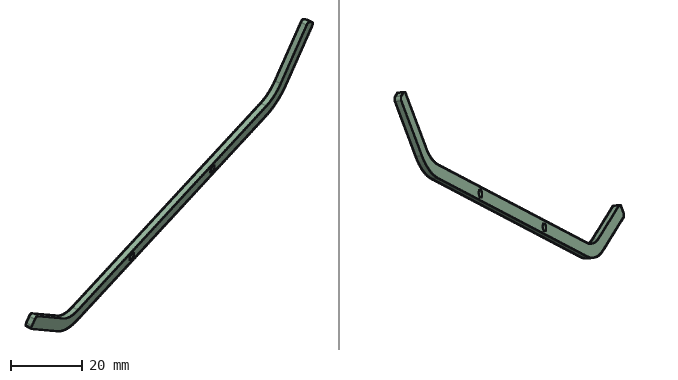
import cadquery as cq
import math

THICKNESS = 2.0
BAR_WIDTH = 4.0
OVERALL_LENGTH = 139.52
OVERALL_HEIGHT = 20.09
ARM_ANGLE = math.radians(45.0)
INNER_BEND_RADIUS = 10.0
OUTER_BEND_RADIUS = INNER_BEND_RADIUS + BAR_WIDTH
TIP_FILLET_RADIUS = 1.0
HOLE_DIAMETER = 2.2
HOLE_SPACING = 40.0

ARM_Y = math.cos(ARM_ANGLE)
ARM_Z = math.sin(ARM_ANGLE)

FLAT_LENGTH = BAR_WIDTH - 2 * TIP_FILLET_RADIUS
LOWER_FILLET_Y = OVERALL_LENGTH / 2 - TIP_FILLET_RADIUS
UPPER_FILLET_Z = OVERALL_HEIGHT - TIP_FILLET_RADIUS
LOWER_FILLET_Z = UPPER_FILLET_Z - FLAT_LENGTH * ARM_Y

LOWER_TIP_Y = LOWER_FILLET_Y + TIP_FILLET_RADIUS * (ARM_Y + ARM_Z)
LOWER_TIP_Z = LOWER_FILLET_Z + TIP_FILLET_RADIUS * (ARM_Z - ARM_Y)
UPPER_TIP_Y = LOWER_TIP_Y - BAR_WIDTH * ARM_Z
UPPER_TIP_Z = LOWER_TIP_Z + BAR_WIDTH * ARM_Y

SHARP_CORNER_Y = LOWER_TIP_Y - LOWER_TIP_Z / math.tan(ARM_ANGLE)
BEND_START_Y = SHARP_CORNER_Y - OUTER_BEND_RADIUS * math.tan(ARM_ANGLE / 2)


def bend_point(radius, angle):
    """Point on the +Y bend at a given angle past the straight bar."""
    y = BEND_START_Y + radius * math.sin(angle)
    z = OUTER_BEND_RADIUS - radius * math.cos(angle)
    return y, z


def make_half_strip():
    """The +Y half of the bent strip, from the mid-plane to the rounded tip."""
    outer_start, outer_middle, outer_end = [
        bend_point(OUTER_BEND_RADIUS, angle) for angle in (0, ARM_ANGLE / 2, ARM_ANGLE)
    ]
    inner_start, inner_middle, inner_end = [
        bend_point(INNER_BEND_RADIUS, angle) for angle in (0, ARM_ANGLE / 2, ARM_ANGLE)
    ]
    profile = (
        cq.Workplane("YZ")
        .moveTo(0, 0)
        .lineTo(*outer_start)
        .threePointArc(outer_middle, outer_end)
        .lineTo(LOWER_TIP_Y, LOWER_TIP_Z)
        .lineTo(UPPER_TIP_Y, UPPER_TIP_Z)
        .lineTo(*inner_end)
        .threePointArc(inner_middle, inner_start)
        .lineTo(0, BAR_WIDTH)
        .close()
    )
    square_ended = profile.extrude(THICKNESS / 2, both=True)
    return square_ended.edges(">Y or >Z").fillet(TIP_FILLET_RADIUS)


def make_holes():
    """Two round cutters through the thickness, on the bar's centreline."""
    centers = [(side * HOLE_SPACING / 2, BAR_WIDTH / 2) for side in (-1, 1)]
    return (
        cq.Workplane("YZ")
        .pushPoints(centers)
        .circle(HOLE_DIAMETER / 2)
        .extrude(THICKNESS, both=True)
    )


half_strip = make_half_strip()
strip = half_strip.union(half_strip.mirror("XZ"))
result = strip.cut(make_holes())